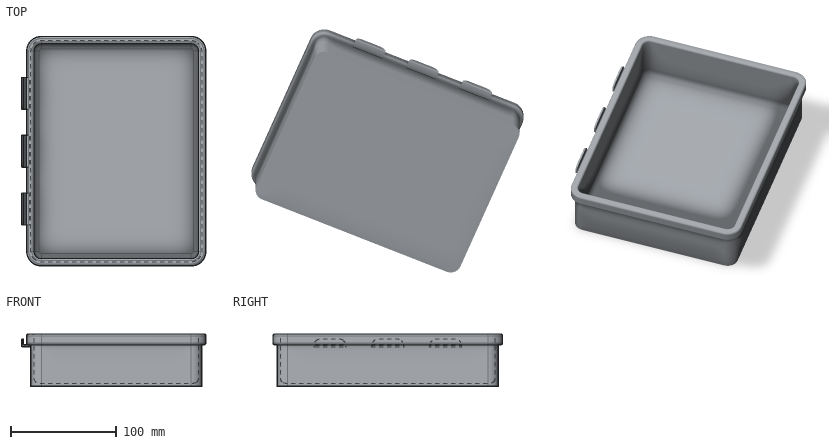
import cadquery as cq

rim_x = 170.3
rim_y = 218.0
rim_radius = 14.0
rim_height = 10.5
rim_round = 2.0
total_height = 50.0

rim_overhang = 4.0
wall = 3.0
floor_thickness = wall
floor_round = 5.0

hook_reach = 4.8
hook_length = 30.5
hook_pitch = 55.0
hook_count = 3
lip_thickness = 1.7
arm_thickness = 2.0
elbow_radius = 1.0
hook_bottom = 37.7
hook_top = 45.1
hook_corner_radius = 6.5
hook_edge_round = 0.9
hook_root_rise = 1.3


def rounded_block(inset, bottom, top):
    """Upright block whose outline is the rim outline moved inwards by inset."""
    return (
        cq.Workplane("XY", origin=(0, 0, bottom))
        .rect(rim_x - 2 * inset, rim_y - 2 * inset)
        .extrude(top - bottom)
        .edges("|Z")
        .fillet(rim_radius - inset)
    )


def tray():
    """Open tray with a thick rounded rim and a rounded floor edge."""
    body = rounded_block(rim_overhang, 0, total_height)
    rim = rounded_block(0, total_height - rim_height, total_height)
    rim = rim.faces("<Z").edges().fillet(rim_round)
    cavity = rounded_block(rim_overhang + wall, floor_thickness, total_height)
    cavity = cavity.faces("<Z").edges().fillet(floor_round)
    return body.union(rim).cut(cavity).faces(">Z").edges().fillet(rim_round)


def hook(center_y):
    """J-shaped hook: an arm under the rim turning up into a round-cornered lip."""
    rim_side = -rim_x / 2
    lip_outside = rim_side - hook_reach
    lip_inside = lip_outside + lip_thickness
    arm_top = hook_bottom + arm_thickness
    elbow_end = arm_top + elbow_radius
    root_top = total_height - rim_height + rim_round
    body_side = rim_side + rim_overhang
    embed_x = body_side + wall / 2
    profile = (
        cq.Workplane("XZ", origin=(0, center_y + hook_length / 2, 0))
        .moveTo(lip_outside, hook_bottom)
        .lineTo(body_side - hook_root_rise, hook_bottom)
        .lineTo(body_side, hook_bottom + hook_root_rise)
        .lineTo(embed_x, hook_bottom + hook_root_rise)
        .lineTo(embed_x, root_top)
        .lineTo(rim_side, root_top)
        .lineTo(rim_side, elbow_end)
        .radiusArc((rim_side - elbow_radius, arm_top), elbow_radius)
        .lineTo(lip_inside + elbow_radius, arm_top)
        .radiusArc((lip_inside, elbow_end), elbow_radius)
        .lineTo(lip_inside, hook_top)
        .lineTo(lip_outside, hook_top)
        .close()
        .extrude(hook_length)
    )
    rounded = profile.edges("|X and >Z").fillet(hook_corner_radius)
    return rounded.faces("<X").edges().fillet(hook_edge_round)


result = tray()
for index in range(hook_count):
    offset = index - (hook_count - 1) / 2
    result = result.union(hook(offset * hook_pitch))